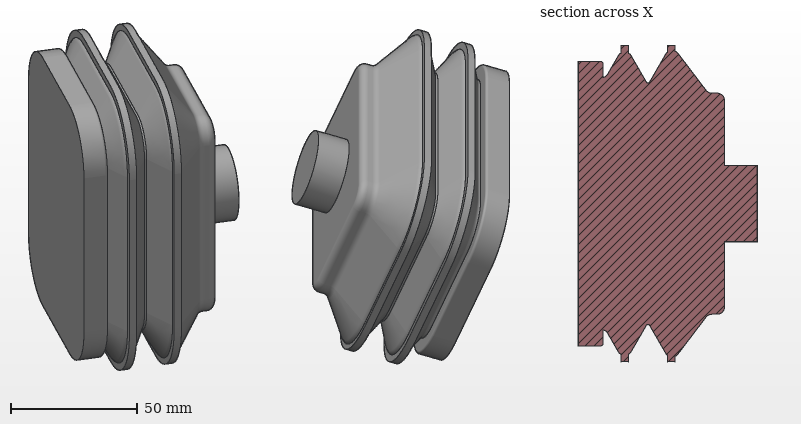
import cadquery as cq
import math

width = 95.5
height = 125.5
depth = 71.0
flange_reach = 27.7
core_half_x = width / 2 - flange_reach
core_half_z = height / 2 - flange_reach

plate_thickness = 9.9
plate_reach = 21.5
plate_rim_radius = 1.0

fold_slope = math.radians(30)
apex_reach = 28.2
crest_radius = 3.0
flange_thickness = 3.0
front_crest_y = 18.5
crest_pitch = 18.5
back_crest_y = front_crest_y + crest_pitch

valley_y = front_crest_y + crest_pitch / 2
valley_width = 0.9
valley_reach = apex_reach - (crest_pitch - valley_width) / 2 / math.tan(fold_slope)

neck_reach = 15.2
neck_radius = 2.0
neck_end_y = front_crest_y - (apex_reach - neck_reach) * math.tan(fold_slope)

collar_reach = 8.9
collar_front_y = 51.6
collar_back_y = 58.1
collar_radius = 3.0

stub_diameter = 30.4


def rounded_outline(corners):
    """Closed XY outline through (x, y, radius) corners; a nonzero radius becomes a tangent arc."""
    points = [cq.Vector(x, y) for x, y, _ in corners]
    outline = cq.Workplane("XY")
    for i, (_, _, radius) in enumerate(corners):
        point = points[i]
        to_previous = (points[i - 1] - point).normalized()
        to_next = (points[(i + 1) % len(points)] - point).normalized()
        half_angle = to_previous.getAngle(to_next) / 2
        tangent_length = radius / math.tan(half_angle)
        arc_start = point + to_previous * tangent_length
        if i == 0:
            outline = outline.moveTo(arc_start.x, arc_start.y)
        else:
            outline = outline.lineTo(arc_start.x, arc_start.y)
        if radius > 0:
            bisector = (to_previous + to_next).normalized()
            arc_middle = point + bisector * (radius / math.sin(half_angle) - radius)
            arc_end = point + to_next * tangent_length
            outline = outline.threePointArc((arc_middle.x, arc_middle.y), (arc_end.x, arc_end.y))
    return outline.close()


def grown_core(corners):
    """Solid built around the core rectangle from an outline of (reach, y, radius) corners."""
    start_y = corners[0][1]
    length = corners[-1][1] - start_y
    core = cq.Workplane("XY", origin=(0, start_y, 0)).box(
        core_half_x, length, core_half_z, centered=False
    )
    side = rounded_outline(corners).extrude(core_half_z).translate((core_half_x, 0, 0))
    end = (
        rounded_outline(corners)
        .extrude(-core_half_x)
        .rotate((0, 0, 0), (0, 1, 0), -90)
        .translate((0, 0, core_half_z))
    )
    corner = (
        rounded_outline(corners)
        .revolve(90, (0, 0, 0), (0, -1, 0))
        .translate((core_half_x, 0, core_half_z))
    )
    quarter = core.union(side).union(end).union(corner)
    half = quarter.union(quarter.mirror("YZ"))
    return half.union(half.mirror("XY")).clean()


def flange(crest_y):
    """Thin square-edged rim centred on a fold crest."""
    front_y = crest_y - flange_thickness / 2
    back_y = crest_y + flange_thickness / 2
    return grown_core([
        (0, front_y, 0),
        (flange_reach, front_y, 0),
        (flange_reach, back_y, 0),
        (0, back_y, 0),
    ])


plate = grown_core([
    (0, 0, 0),
    (plate_reach, 0, 0),
    (plate_reach, plate_thickness, plate_rim_radius),
    (0, plate_thickness, 0),
])

folds = grown_core([
    (0, 0, 0),
    (neck_reach, 0, 0),
    (neck_reach, neck_end_y, neck_radius),
    (apex_reach, front_crest_y, crest_radius),
    (valley_reach, valley_y - valley_width / 2, 0),
    (valley_reach, valley_y + valley_width / 2, 0),
    (apex_reach, back_crest_y, crest_radius),
    (collar_reach, collar_front_y, collar_radius),
    (collar_reach, collar_back_y, collar_radius),
    (0, collar_back_y, 0),
])

stub = (
    cq.Workplane("XZ", origin=(0, depth, 0))
    .circle(stub_diameter / 2)
    .extrude(depth - collar_back_y)
)

result = plate.union(folds).union(stub)
for crest_y in (front_crest_y, back_crest_y):
    result = result.union(flange(crest_y))
result = result.clean()